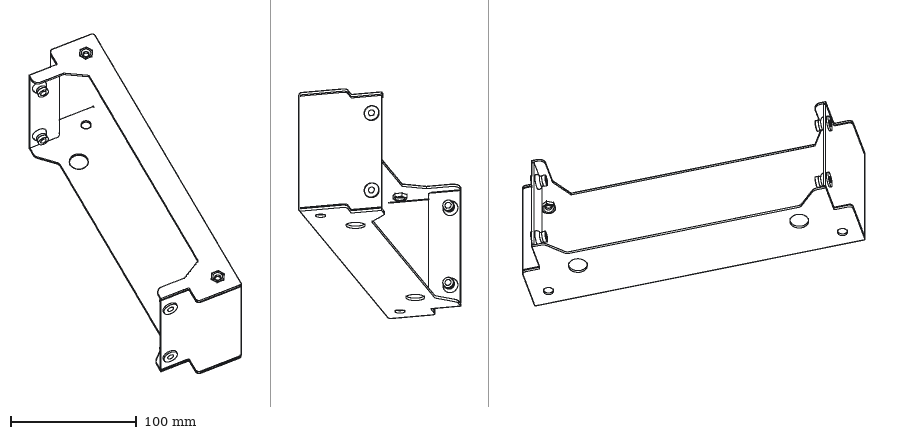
import cadquery as cq
import math

LENGTH = 273.0
DEPTH = 65.0
HEIGHT = 100.0
BACK_Y = DEPTH / 2
FRONT_Y = -DEPTH / 2
TOP_Z = HEIGHT / 2

SHEET = 2.0
INNER_BEND = 1.0
OUTER_BEND = INNER_BEND + SHEET

RETURN_DEPTH = 40.0
RETURN_Y = BACK_Y - RETURN_DEPTH
FLANGE_X = 121.5
WALL_HEIGHT = HEIGHT - 2 * OUTER_BEND

PRONG_X = 111.5
PRONG_RADIUS = 5.5
TOP_KNEE_Y = -6.8
TOP_EDGE_X = 100.7
TOP_EDGE_Y = 10.5

BOTTOM_EDGE_X = 96.6
BOTTOM_EDGE_Y = -17.7
BOTTOM_EDGE_RADIUS = 5.0

CABLE_HOLE_DIAMETER = 15.0
CABLE_HOLE_X = 91.5
CABLE_HOLE_Y = -3.0

NUT_X = 121.5
NUT_Y = 17.7
NUT_FLATS = 10.0
NUT_CORNERS = NUT_FLATS / math.cos(math.radians(30))
NUT_THICKNESS = 5.0
NUT_BORE = 5.0
NUT_COUNTERSINK = 1.5
NUT_CHAMFER_ANGLE = 30
NUT_CLEARANCE_DIAMETER = 8.0

RIVET_Y = -24.5
RIVET_Z = 32.5
RIVET_HEAD_RADIUS = 6.0
RIVET_HEAD_THICKNESS = 1.5
RIVET_BODY_RADIUS = 4.5
RIVET_BORE_RADIUS = 2.5
RIVET_BULGE_RADIUS = 6.0
RIVET_BULGE_LENGTH = 3.3
RIVET_NECK_RADIUS = 4.0
RIVET_NECK_LENGTH = 2.0
RIVET_LENGTH = 9.8

SIDES = (-1, 1)
DIAGONAL = math.sqrt(0.5)
EDGE_SEARCH = 0.03


def wall_profile():
    """Outline in XY of the back plate, side walls, returns and flanges, with sharp corners."""
    right_outside = [
        (LENGTH / 2, BACK_Y),
        (LENGTH / 2, RETURN_Y),
        (FLANGE_X, RETURN_Y),
        (FLANGE_X, FRONT_Y),
    ]
    right_inside = [
        (FLANGE_X - SHEET, FRONT_Y),
        (FLANGE_X - SHEET, RETURN_Y + SHEET),
        (LENGTH / 2 - SHEET, RETURN_Y + SHEET),
        (LENGTH / 2 - SHEET, BACK_Y - SHEET),
    ]
    right = right_outside + right_inside
    left = [(-x, y) for x, y in reversed(right)]
    return right + left


def round_edges(solid, x, y, radius):
    """Fillet the edges along Z at (+-x, y)."""
    for side in SIDES:
        low = (side * x - EDGE_SEARCH, y - EDGE_SEARCH, -HEIGHT)
        high = (side * x + EDGE_SEARCH, y + EDGE_SEARCH, HEIGHT)
        near = cq.selectors.BoxSelector(low, high)
        solid = solid.edges("|Z").edges(near).fillet(radius)
    return solid


def make_walls():
    walls = (
        cq.Workplane("XY")
        .workplane(offset=-WALL_HEIGHT / 2)
        .polyline(wall_profile())
        .close()
        .extrude(WALL_HEIGHT)
    )
    bends = [
        (LENGTH / 2, BACK_Y, OUTER_BEND),
        (LENGTH / 2 - SHEET, BACK_Y - SHEET, INNER_BEND),
        (LENGTH / 2, RETURN_Y, OUTER_BEND),
        (LENGTH / 2 - SHEET, RETURN_Y + SHEET, INNER_BEND),
        (FLANGE_X, RETURN_Y, INNER_BEND),
        (FLANGE_X - SHEET, RETURN_Y + SHEET, OUTER_BEND),
    ]
    for x, y, radius in bends:
        walls = round_edges(walls, x, y, radius)
    return walls


def make_plate(inner_edge, bottom_z):
    """Flat plate from its bend line forward; inner_edge is the right half of its front edge."""
    right = [
        (LENGTH / 2, BACK_Y - OUTER_BEND),
        (LENGTH / 2, RETURN_Y),
        (FLANGE_X, RETURN_Y),
        (FLANGE_X, FRONT_Y),
    ] + inner_edge
    left = [(-x, y) for x, y in reversed(right)]
    plate = (
        cq.Workplane("XY").workplane(offset=bottom_z).polyline(right + left).close().extrude(SHEET)
    )
    plate = round_edges(plate, LENGTH / 2, RETURN_Y, OUTER_BEND)
    plate = round_edges(plate, FLANGE_X, RETURN_Y, INNER_BEND)
    return round_edges(plate, PRONG_X, FRONT_Y, PRONG_RADIUS)


def make_top_plate():
    edge = [(PRONG_X, FRONT_Y), (PRONG_X, TOP_KNEE_Y), (TOP_EDGE_X, TOP_EDGE_Y)]
    return make_plate(edge, TOP_Z - SHEET)


def make_bottom_plate():
    edge = [(PRONG_X, FRONT_Y), (BOTTOM_EDGE_X, BOTTOM_EDGE_Y)]
    plate = make_plate(edge, -TOP_Z)
    return round_edges(plate, BOTTOM_EDGE_X, BOTTOM_EDGE_Y, BOTTOM_EDGE_RADIUS)


def make_plate_bend(direction):
    """Bend from the back plate to the top (1) or bottom (-1) plate, its ends rounded like the walls."""
    center_y = BACK_Y - OUTER_BEND
    center_z = direction * (TOP_Z - OUTER_BEND)

    def at(radius, along_y, along_z):
        return (center_y + radius * along_y, center_z + direction * radius * along_z)

    bend = (
        cq.Workplane("YZ")
        .workplane(offset=-LENGTH / 2)
        .moveTo(*at(OUTER_BEND, 1, 0))
        .threePointArc(at(OUTER_BEND, DIAGONAL, DIAGONAL), at(OUTER_BEND, 0, 1))
        .lineTo(*at(INNER_BEND, 0, 1))
        .threePointArc(at(INNER_BEND, DIAGONAL, DIAGONAL), at(INNER_BEND, 1, 0))
        .close()
        .extrude(LENGTH)
    )
    rounded_ends = (
        cq.Workplane("XY")
        .box(LENGTH, DEPTH, HEIGHT)
        .edges("|Z and >Y")
        .fillet(OUTER_BEND)
    )
    return bend.intersect(rounded_ends)


def bottom_plate_holes(diameter, x, y):
    """Cylinders through the bottom plate at (+-x, y)."""
    points = [(side * x, y) for side in SIDES]
    return (
        cq.Workplane("XY")
        .workplane(offset=-TOP_Z)
        .pushPoints(points)
        .circle(diameter / 2)
        .extrude(SHEET)
    )


def make_nut_blank():
    """Plain hexagonal prism on the Z axis, a corner toward Y, with its top at TOP_Z."""
    return (
        cq.Workplane("XY")
        .workplane(offset=TOP_Z - NUT_THICKNESS)
        .transformed(rotate=(0, 0, 90))
        .polygon(6, NUT_CORNERS)
        .extrude(NUT_THICKNESS)
    )


def make_bracket():
    bracket = make_walls().union(make_top_plate()).union(make_bottom_plate())
    for direction in SIDES:
        bracket = bracket.union(make_plate_bend(direction))
    bracket = bracket.cut(bottom_plate_holes(CABLE_HOLE_DIAMETER, CABLE_HOLE_X, CABLE_HOLE_Y))
    bracket = bracket.cut(bottom_plate_holes(NUT_CLEARANCE_DIAMETER, NUT_X, NUT_Y))
    for side in SIDES:
        bracket = bracket.cut(make_nut_blank().translate((side * NUT_X, NUT_Y, 0)))
    rivet_holes = (
        cq.Workplane("YZ")
        .workplane(offset=-LENGTH / 2)
        .pushPoints([(RIVET_Y, RIVET_Z), (RIVET_Y, -RIVET_Z)])
        .circle(RIVET_BODY_RADIUS)
        .extrude(LENGTH)
    )
    return bracket.cut(rivet_holes)


def make_nut(side):
    """Hexagon nut with its corners chamfered and its bore countersunk at both ends."""
    corner_radius = NUT_CORNERS / 2
    chamfer_width = (NUT_CORNERS - NUT_FLATS) / 2
    chamfer_height = chamfer_width * math.tan(math.radians(NUT_CHAMFER_ANGLE))
    bore_radius = NUT_BORE / 2
    mouth_radius = bore_radius + NUT_COUNTERSINK
    bottom = TOP_Z - NUT_THICKNESS
    turned_profile = [
        (mouth_radius, bottom),
        (NUT_FLATS / 2, bottom),
        (corner_radius, bottom + chamfer_height),
        (corner_radius, TOP_Z - chamfer_height),
        (NUT_FLATS / 2, TOP_Z),
        (mouth_radius, TOP_Z),
        (bore_radius, TOP_Z - NUT_COUNTERSINK),
        (bore_radius, bottom + NUT_COUNTERSINK),
    ]
    turned = cq.Workplane("XZ").polyline(turned_profile).close().revolve(360, (0, 0, 0), (0, 1, 0))
    return make_nut_blank().intersect(turned).translate((side * NUT_X, NUT_Y, 0))


def make_rivet_nut(side, z):
    """Rivet nut through a flange: outer head, rolled bulge inside, then a neck and the threaded end."""
    bulge_height = RIVET_BULGE_RADIUS - RIVET_NECK_RADIUS
    bulge_middle = (SHEET + DIAGONAL * RIVET_BULGE_LENGTH, RIVET_NECK_RADIUS + DIAGONAL * bulge_height)
    bulge_end = SHEET + RIVET_BULGE_LENGTH
    neck_end = bulge_end + RIVET_NECK_LENGTH
    rivet = (
        cq.Workplane("XY")
        .moveTo(-RIVET_HEAD_THICKNESS, RIVET_BORE_RADIUS)
        .lineTo(-RIVET_HEAD_THICKNESS, RIVET_HEAD_RADIUS)
        .lineTo(0, RIVET_HEAD_RADIUS)
        .lineTo(0, RIVET_BODY_RADIUS)
        .lineTo(SHEET, RIVET_BODY_RADIUS)
        .lineTo(SHEET, RIVET_BULGE_RADIUS)
        .threePointArc(bulge_middle, (bulge_end, RIVET_NECK_RADIUS))
        .lineTo(neck_end, RIVET_NECK_RADIUS)
        .lineTo(neck_end, RIVET_BODY_RADIUS)
        .lineTo(RIVET_LENGTH, RIVET_BODY_RADIUS)
        .lineTo(RIVET_LENGTH, RIVET_BORE_RADIUS)
        .close()
        .revolve(360, (0, 0, 0), (1, 0, 0))
    )
    if side > 0:
        rivet = rivet.rotate((0, 0, 0), (0, 0, 1), 180)
    return rivet.translate((side * FLANGE_X, RIVET_Y, z))


bracket = make_bracket()
nuts = [make_nut(side) for side in SIDES]
rivet_nuts = [make_rivet_nut(side, z) for side in SIDES for z in (-RIVET_Z, RIVET_Z)]

bodies = [bracket] + nuts + rivet_nuts
result = cq.Compound.makeCompound([body.val() for body in bodies])